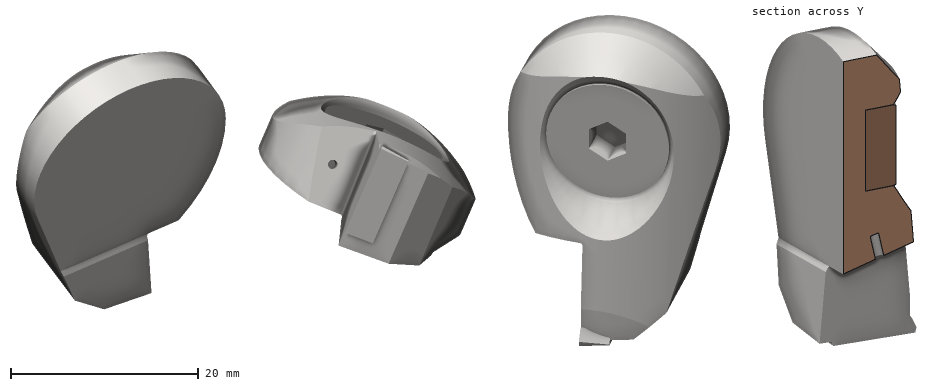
import cadquery as cq
import math


disc_radius = 11.75
flank_radius = 18.7
tangent_drop = 3.02
leg_wall_y = 2.0
shelf_z = -13.5
outline_bottom = -24.32
blank_front = -13.9
blank_back = 2.1

lean_angle = 5.4
dome_radius = 17.37
crest_x = -8.45
crown_x = -5.15
crown_angle = 39.6
crown_depth = 6.95

relief_radius = 20.15
relief_x = -10.2
relief_y = -0.07

shelf_slope = 0.24
shelf_fillet = 0.28
leg_back_start = (0, shelf_z)
leg_back_step = (0.35, -14.15)
leg_back_end = (1.2, -23.28)
toe_tilt = 1.8
toe_shoulder = (-7.15, -18.4)
toe_corner = (-3.75, -21.55)
toe_end = (leg_wall_y, -22.15)

coolant_diameter = 1.0
coolant_x = -4.5
coolant_y = 5.05
coolant_depth = 2.78

screw_diameter = 13.6
screw_top_x = -6.6
screw_thickness = 3.82
screw_bottom_x = screw_top_x + screw_thickness
seat_floor_x = -6.25
seat_rim_radius = 7.3
seat_rim_x = -6.75
countersink_slope = 1.2
countersink_x = -12.15
hex_across_flats = 4.1
hex_depth = 3.13

tip_inner_y = -1.25
tip_back_x = -0.6
tip_root_z = -21.05
tip_outer_section = [(-10.9, -22.4), (-10.75, -23.0), (tip_back_x, -22.7),
                     (tip_back_x, tip_root_z), (-10.2, tip_root_z)]
tip_inner_section = [(-10.53, -22.48), (-10.45, -22.6), (tip_back_x, -22.35),
                     (tip_back_x, tip_root_z), (-9.73, tip_root_z)]


def prism_x(sketch, start, end):
    """Extrude a closed YZ outline from X = start to X = end."""
    return sketch.extrude(end - start).translate((start, 0, 0))


def lean(shape):
    """Lean a shape about the Y axis so that its lower end moves toward -X."""
    return shape.rotate((0, 0, 0), (0, 1, 0), lean_angle)


def make_blank():
    tangent_y = -math.sqrt(disc_radius ** 2 - tangent_drop ** 2)
    flank_y = disc_radius - flank_radius
    shelf_y = flank_y + math.sqrt(flank_radius ** 2 - shelf_z ** 2)
    mid_z = shelf_z / 2
    mid_y = flank_y + math.sqrt(flank_radius ** 2 - mid_z ** 2)
    flank_run = (toe_shoulder[0] - tangent_y) / (toe_shoulder[1] + tangent_drop)
    bottom_y = toe_shoulder[0] + flank_run * (outline_bottom - toe_shoulder[1])
    outline = (cq.Workplane("YZ").moveTo(tangent_y, -tangent_drop)
               .threePointArc((0, disc_radius), (disc_radius, 0))
               .threePointArc((mid_y, mid_z), (shelf_y, shelf_z))
               .lineTo(shelf_y, outline_bottom)
               .lineTo(bottom_y, outline_bottom)
               .close())
    return prism_x(outline, blank_front, blank_back)


def make_dome():
    length = 86.85
    dome = cq.Workplane("XY").circle(dome_radius).extrude(length).translate((dome_radius, 0, -length / 2))
    return lean(dome).translate((crest_x, 0, 0))


def make_crown_cut():
    """Material in front of a leaning cone, over the upper half only."""
    slab_size = 41.7
    rim_radius = disc_radius / math.cos(math.radians(lean_angle))
    top_radius = rim_radius - crown_depth / math.tan(math.radians(crown_angle))
    cone = (cq.Workplane("XY")
            .lineTo(0, rim_radius)
            .lineTo(-crown_depth, top_radius)
            .lineTo(-crown_depth, 0)
            .close().revolve(360, (0, 0, 0), (1, 0, 0)))
    slab = cq.Workplane("XY").box(crown_depth, slab_size, slab_size / 2, centered=(False, True, False))
    cut = slab.translate((-crown_depth, 0, 0)).cut(cone)
    return lean(cut).translate((crown_x, 0, 0))


def make_relief_cut():
    height = 10.42
    top_z = -15.65
    block_depth = 13.9
    block_width = 27.8
    block = cq.Workplane("XY").box(block_depth, block_width, height)
    block = block.translate((relief_x, 0, top_z - height / 2))
    keep = (cq.Workplane("XY").circle(relief_radius).extrude(height)
            .translate((relief_x + relief_radius, relief_y, top_z - height)))
    return block.cut(keep)


def make_shelf_cut():
    """Notch beside the leg, with a sloping ceiling and a small inner fillet."""
    width = 13.9
    notch = (cq.Workplane("XZ")
             .moveTo(blank_front, shelf_z - shelf_slope * blank_front)
             .lineTo(blank_back, shelf_z - shelf_slope * blank_back)
             .lineTo(blank_back, outline_bottom - 0.35)
             .lineTo(blank_front, outline_bottom - 0.35)
             .close().extrude(-width).translate((0, leg_wall_y, 0)))
    return notch.faces("<Y").edges(">Z").fillet(shelf_fillet)


def make_back_cut():
    """Space behind the mounting face and behind the leg's stepped back."""
    return (cq.Workplane("XZ").moveTo(0, disc_radius + 0.35)
            .lineTo(*leg_back_start)
            .lineTo(*leg_back_step)
            .lineTo(*leg_back_end)
            .lineTo(leg_back_end[0], outline_bottom - 0.35)
            .lineTo(blank_back + 0.35, outline_bottom - 0.35)
            .lineTo(blank_back + 0.35, disc_radius + 0.35)
            .close().extrude(2 * disc_radius, both=True))


def make_toe_cut():
    overrun = 6.95
    margin = 3.47
    far_y = toe_shoulder[0] - overrun
    chamfer_slope = (toe_corner[1] - toe_shoulder[1]) / (toe_corner[0] - toe_shoulder[0])
    far_z = toe_shoulder[1] + chamfer_slope * (far_y - toe_shoulder[0])
    toe_slope = (toe_end[1] - toe_corner[1]) / (toe_end[0] - toe_corner[0])
    past_y = toe_end[0] + overrun
    past_z = toe_end[1] + toe_slope * overrun
    outline = (cq.Workplane("YZ").moveTo(far_y, far_z)
               .lineTo(*toe_corner)
               .lineTo(past_y, past_z)
               .lineTo(past_y, outline_bottom - margin)
               .lineTo(far_y, outline_bottom - margin)
               .close())
    cut = prism_x(outline, blank_front - margin, blank_back + margin)
    pivot_z = toe_corner[1]
    return cut.rotate((0, 0, pivot_z), (0, 1, pivot_z), -toe_tilt)


def make_seat_cut():
    """Cylindrical screw bore, a narrow taper, and a wide countersink."""
    bore_radius = screw_diameter / 2
    mouth_radius = seat_rim_radius + countersink_slope * (seat_rim_x - countersink_x)
    return (cq.Workplane("XY").moveTo(screw_bottom_x, 0)
            .lineTo(screw_bottom_x, bore_radius)
            .lineTo(seat_floor_x, bore_radius)
            .lineTo(seat_rim_x, seat_rim_radius)
            .lineTo(countersink_x, mouth_radius)
            .lineTo(countersink_x, 0)
            .close().revolve(360, (0, 0, 0), (1, 0, 0)))


def make_coolant_hole():
    """Hole drilled square to the sloping shelf."""
    start = cq.Vector(coolant_x, coolant_y, shelf_z - shelf_slope * coolant_x)
    direction = cq.Vector(shelf_slope, 0, 1)
    return cq.Workplane(cq.Solid.makeCylinder(coolant_diameter / 2, coolant_depth, start, direction))


def make_tip():
    outer = [cq.Vector(x, leg_wall_y, z) for x, z in tip_outer_section]
    inner = [cq.Vector(x, tip_inner_y, z) for x, z in tip_inner_section]
    wires = [cq.Wire.makePolygon(points, close=True) for points in (outer, inner)]
    return cq.Workplane(cq.Solid.makeLoft(wires, True))


def make_housing():
    housing = make_blank().intersect(make_dome())
    cuts = [make_crown_cut(), make_relief_cut(), make_shelf_cut(), make_back_cut(),
            make_toe_cut(), make_seat_cut(), make_coolant_hole()]
    for cut in cuts:
        housing = housing.cut(cut)
    return housing.union(make_tip())


def make_screw():
    """Flat round screw head with a hexagon socket, one corner pointing up."""
    corner_diameter = hex_across_flats / math.cos(math.radians(30))
    head = prism_x(cq.Workplane("YZ").circle(screw_diameter / 2), screw_top_x, screw_bottom_x)
    socket_outline = cq.Workplane("YZ").polygon(6, corner_diameter)
    socket = prism_x(socket_outline, screw_top_x, screw_top_x + hex_depth)
    return head.cut(socket.rotate((0, 0, 0), (1, 0, 0), 30))


housing = make_housing()
screw = make_screw()
result = cq.Compound.makeCompound([housing.val(), screw.val()])